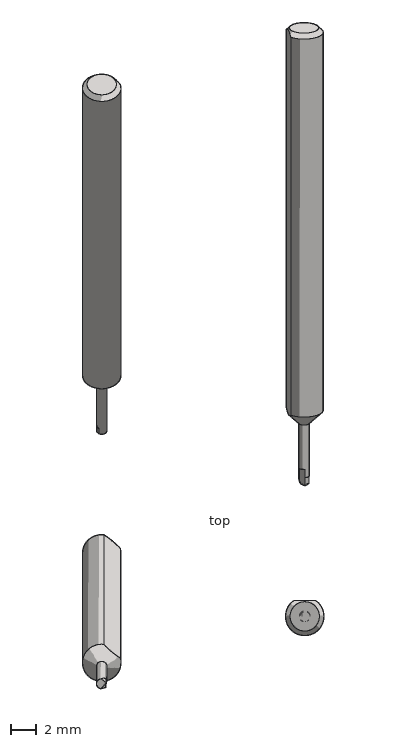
import cadquery as cq

length = 38.0
shank_diameter = 3.0
shank_radius = shank_diameter / 2
width_across_flat = 2.75
flat_offset = width_across_flat - shank_radius
top_chamfer = 0.36
neck_radius = 0.4
shank_bottom = 6.15
cone_height = shank_radius - neck_radius

end_clearance = 0.095
relief_height = 0.7
facet_edge_x = -0.2
facet_end_x = 0.08
rake_height = 1.35
rake_end_x = -0.15
heel_width = 0.15
heel_height = 0.45


def turned_body():
    """Shank, cone and neck turned about Z."""
    return (
        cq.Workplane("XZ")
        .moveTo(0, 0)
        .lineTo(neck_radius, 0)
        .lineTo(neck_radius, shank_bottom - cone_height)
        .lineTo(shank_radius, shank_bottom)
        .lineTo(shank_radius, length - top_chamfer)
        .lineTo(shank_radius - top_chamfer, length)
        .lineTo(0, length)
        .close()
        .revolve(360, (0, 0, 0), (0, 1, 0))
    )


def shank_flat_cutter():
    """Block outside the flat that runs along the shank."""
    width = shank_diameter
    block = cq.Workplane("XY").box(width, width, length, centered=(True, False, False))
    return block.translate((0, flat_offset, 0))


def relief_cutter():
    """Prism outside the two facets ground on the -X, -Y side of the tip."""
    neck_y = -(neck_radius**2 - facet_edge_x**2) ** 0.5
    end_y = -(neck_radius**2 - facet_end_x**2) ** 0.5
    return (
        cq.Workplane("XY")
        .polyline([
            (-neck_radius, 0),
            (facet_edge_x, neck_y),
            (facet_end_x, end_y),
            (facet_end_x, -2 * neck_radius),
            (-2 * neck_radius, -2 * neck_radius),
            (-2 * neck_radius, 0),
        ])
        .close()
        .extrude(relief_height)
    )


def rake_cutter():
    """Prism outside the rake face on the -X, +Y side of the tip."""
    end_y = (neck_radius**2 - rake_end_x**2) ** 0.5
    return (
        cq.Workplane("XY")
        .polyline([(-neck_radius, 0), (rake_end_x, end_y), (-neck_radius, end_y)])
        .close()
        .extrude(rake_height)
    )


def end_cutter():
    """Wedge that leaves the cutting corner as the lowest point."""
    return (
        cq.Workplane("XZ")
        .polyline([(-neck_radius, 0), (neck_radius, 0), (neck_radius, end_clearance),
                   (-neck_radius / 2, end_clearance)])
        .close()
        .extrude(neck_radius, both=True)
    )


def heel_cutter():
    """Bevel on the +Y edge of the end."""
    return (
        cq.Workplane("YZ")
        .polyline([(neck_radius, 0), (neck_radius - heel_width, 0), (neck_radius, heel_height)])
        .close()
        .extrude(neck_radius, both=True)
    )


result = (
    turned_body()
    .cut(shank_flat_cutter())
    .cut(relief_cutter())
    .cut(rake_cutter())
    .cut(end_cutter())
    .cut(heel_cutter())
)